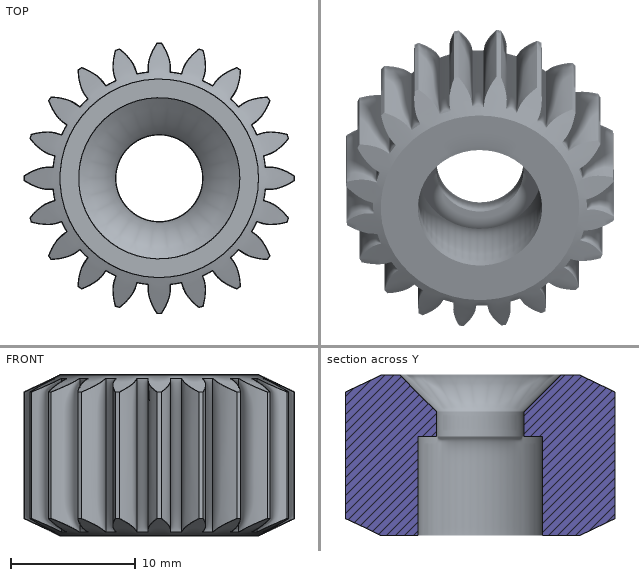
import cadquery as cq
import math

tooth_count = 20
tip_diameter = 21.8
pitch_diameter = 20.0
root_diameter = 17.22
base_diameter = 18.0
pitch_tooth_thickness = 1.35
width = 13.0
involute_point_count = 7

end_face_diameter = 16.0
tip_chamfer_height = 1.4

bore_diameter = 7.0
bore_length = 2.0
countersink_diameter = 13.0
counterbore_diameter = 10.0

tip_radius = tip_diameter / 2
root_radius = root_diameter / 2
base_radius = base_diameter / 2
tooth_pitch_angle = 360 / tooth_count
countersink_depth = (countersink_diameter - bore_diameter) / 2
counterbore_depth = width - countersink_depth - bore_length


def involute(radius):
    """Polar angle that an involute of the base circle has swept at a radius, in radians."""
    pressure_angle = math.acos(base_radius / radius)
    return math.tan(pressure_angle) - pressure_angle


base_half_angle = pitch_tooth_thickness / pitch_diameter + involute(pitch_diameter / 2)


def flank_points():
    """Points of the flank on the +Y side of a tooth along +X, from its foot to the tip."""
    involute_points = []
    for i in range(involute_point_count):
        radius = base_radius + (tip_radius - base_radius) * i / (involute_point_count - 1)
        half_angle = base_half_angle - involute(radius)
        involute_points.append((radius * math.cos(half_angle), radius * math.sin(half_angle)))
    half_thickness = involute_points[0][1]
    foot_x = end_face_diameter / 2
    return [(foot_x, half_thickness)] + involute_points


def tooth():
    """One tooth along +X: nearly parallel sides at the foot running into involute flanks."""
    upper = flank_points()
    lower = [(x, -y) for x, y in upper]
    return (
        cq.Workplane("XY")
        .spline(upper)
        .threePointArc((tip_radius, 0), lower[-1])
        .spline(lower[-2::-1], includeCurrent=True)
        .close()
        .extrude(width)
    )


def toothed_blank():
    """Root cylinder with the ring of teeth."""
    blank = cq.Workplane("XY").circle(root_radius).extrude(width)
    for i in range(tooth_count):
        blank = blank.union(tooth().rotate((0, 0, 0), (0, 0, 1), i * tooth_pitch_angle))
    return blank


def chamfer_envelope():
    """Solid of revolution whose conical ends bevel the teeth at both faces."""
    end_radius = end_face_diameter / 2
    return (
        cq.Workplane("XZ")
        .polyline([
            (0, 0),
            (end_radius, 0),
            (tip_radius, tip_chamfer_height),
            (tip_radius, width - tip_chamfer_height),
            (end_radius, width),
            (0, width),
        ])
        .close()
        .revolve(360, (0, 0, 0), (0, 1, 0))
    )


def stepped_bore():
    """Cutter for the bottom counterbore, the through bore and the top countersink."""
    bore_radius = bore_diameter / 2
    counterbore_radius = counterbore_diameter / 2
    return (
        cq.Workplane("XZ")
        .polyline([
            (0, 0),
            (counterbore_radius, 0),
            (counterbore_radius, counterbore_depth),
            (bore_radius, counterbore_depth),
            (bore_radius, width - countersink_depth),
            (countersink_diameter / 2, width),
            (0, width),
        ])
        .close()
        .revolve(360, (0, 0, 0), (0, 1, 0))
    )


result = toothed_blank().intersect(chamfer_envelope()).cut(stepped_bore())